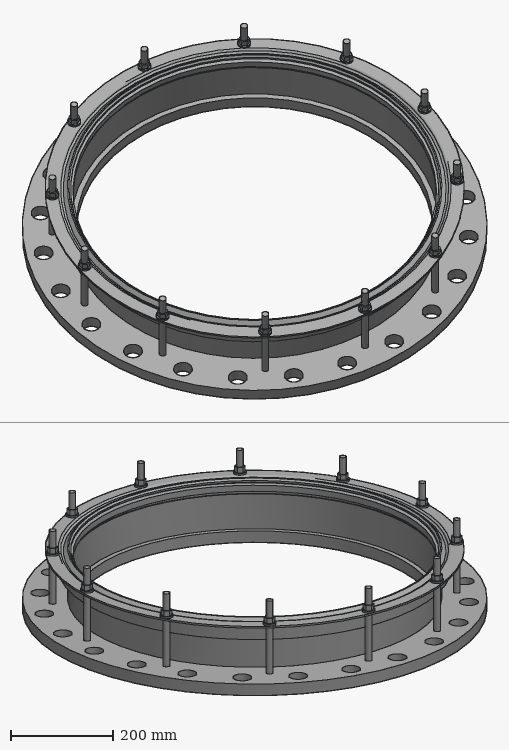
import cadquery as cq
import math

FLANGE_DIAMETER = 910.0
FLANGE_THICKNESS = 25.0
FLANGE_BORE_RADIUS = 349.0
BOLT_HOLE_COUNT = 24
BOLT_HOLE_DIAMETER = 36.0
BOLT_CIRCLE_RADIUS = 420.0

BARREL_BORE_RADIUS = 360.0
BARREL_TOP_Z = 98.0
BARREL_OUTER_RADIUS = 367.0
BELL_OUTER_RADIUS = 387.0
BELL_BOTTOM_Z = 91.0
BELL_TOP_Z = 118.0

GLAND_OUTER_RADIUS = 410.0
GLAND_BOTTOM_Z = 125.0
GLAND_TOP_Z = 128.0
RIM_INNER_RADIUS = 385.0
TROUGH_DEPTH = 5.5
TROUGH_RADIUS = 375.0
LIP_CREST_RADIUS = 367.0
LIP_CREST_Z = 130.0
LIP_BOTTOM_Z = 123.0
LIP_BORE_RADIUS = 360.0
LIP_CHAMFER = 4.0

SEAL_BORE_RADIUS = 356.0
SEAL_TOP_Z = 118.0
SEAL_BOTTOM_Z = 106.0
LIP_GAP_RADIUS = 369.0
MOUTH_GAP_RADIUS = 363.0

STUD_COUNT = 12
STUD_CIRCLE_RADIUS = 397.0
STUD_DIAMETER = 14.0
STUD_TOP_Z = 178.0
WASHER_DIAMETER = 25.5
WASHER_THICKNESS = 4.0
NUT_WIDTH = 18.0
NUT_HEIGHT = 11.0


def circle_points(radius, count, first_angle):
    """Evenly spaced points on a circle about the Z axis, angles in degrees."""
    angles = [math.radians(first_angle + 360 * i / count) for i in range(count)]
    return [(radius * math.cos(a), radius * math.sin(a)) for a in angles]


def make_ring_body():
    """Flange, barrel, bell, seal and gland ring as one revolved section in (radius, z)."""
    trough_z = GLAND_TOP_Z - TROUGH_DEPTH
    bend_radius = (RIM_INNER_RADIUS + TROUGH_RADIUS) / 2
    bend_z = (GLAND_TOP_Z + trough_z) / 2
    underside_rise = GLAND_BOTTOM_Z - BELL_TOP_Z
    section = (
        cq.Workplane("XZ")
        .moveTo(FLANGE_BORE_RADIUS, 0)
        .lineTo(FLANGE_DIAMETER / 2, 0)
        .lineTo(FLANGE_DIAMETER / 2, FLANGE_THICKNESS)
        .lineTo(BARREL_OUTER_RADIUS, FLANGE_THICKNESS)
        .lineTo(BARREL_OUTER_RADIUS, BELL_BOTTOM_Z)
        .lineTo(BELL_OUTER_RADIUS, BELL_BOTTOM_Z)
        .lineTo(BELL_OUTER_RADIUS, BELL_TOP_Z)
        .tangentArcPoint((underside_rise, underside_rise))
        .lineTo(GLAND_OUTER_RADIUS, GLAND_BOTTOM_Z)
        .lineTo(GLAND_OUTER_RADIUS, GLAND_TOP_Z)
        .lineTo(RIM_INNER_RADIUS, GLAND_TOP_Z)
        .tangentArcPoint((bend_radius, bend_z), relative=False)
        .tangentArcPoint((TROUGH_RADIUS, trough_z), relative=False)
        .lineTo(LIP_CREST_RADIUS, LIP_CREST_Z)
        .lineTo(LIP_BORE_RADIUS + LIP_CHAMFER, LIP_CREST_Z)
        .lineTo(LIP_BORE_RADIUS, LIP_CREST_Z - LIP_CHAMFER)
        .lineTo(LIP_BORE_RADIUS, LIP_BOTTOM_Z)
        .lineTo(LIP_GAP_RADIUS, LIP_BOTTOM_Z)
        .lineTo(LIP_GAP_RADIUS, SEAL_TOP_Z)
        .lineTo(SEAL_BORE_RADIUS, SEAL_TOP_Z)
        .lineTo(SEAL_BORE_RADIUS, SEAL_BOTTOM_Z)
        .lineTo(MOUTH_GAP_RADIUS, SEAL_BOTTOM_Z)
        .lineTo(MOUTH_GAP_RADIUS, BARREL_TOP_Z)
        .lineTo(BARREL_BORE_RADIUS, BARREL_TOP_Z)
        .lineTo(BARREL_BORE_RADIUS, FLANGE_THICKNESS)
        .lineTo(FLANGE_BORE_RADIUS, FLANGE_THICKNESS)
        .close()
    )
    return section.revolve(360, (0, 0, 0), (0, 1, 0))


def make_bolt_holes():
    """Cutters for the flange holes, straddling the X and Y axes."""
    half_pitch = 180 / BOLT_HOLE_COUNT
    return (
        cq.Workplane("XY")
        .pushPoints(circle_points(BOLT_CIRCLE_RADIUS, BOLT_HOLE_COUNT, half_pitch))
        .circle(BOLT_HOLE_DIAMETER / 2)
        .extrude(FLANGE_THICKNESS)
    )


def make_stud():
    """One stud on the Z axis, standing on the flange, with its washer and nut."""
    nut_z = GLAND_TOP_Z + WASHER_THICKNESS
    nut_corner_diameter = NUT_WIDTH / math.cos(math.radians(30))
    rod = (
        cq.Workplane("XY", origin=(0, 0, FLANGE_THICKNESS))
        .circle(STUD_DIAMETER / 2)
        .extrude(STUD_TOP_Z - FLANGE_THICKNESS)
    )
    washer = (
        cq.Workplane("XY", origin=(0, 0, GLAND_TOP_Z))
        .circle(WASHER_DIAMETER / 2)
        .extrude(WASHER_THICKNESS)
    )
    nut = (
        cq.Workplane("XY", origin=(0, 0, nut_z))
        .polygon(6, nut_corner_diameter)
        .extrude(NUT_HEIGHT)
        .rotate((0, 0, 0), (0, 0, 1), 30)
    )
    return rod.union(washer).union(nut)


result = make_ring_body().cut(make_bolt_holes())
stud = make_stud()
for x, y in circle_points(STUD_CIRCLE_RADIUS, STUD_COUNT, 0):
    result = result.union(stud.translate((x, y, 0)))